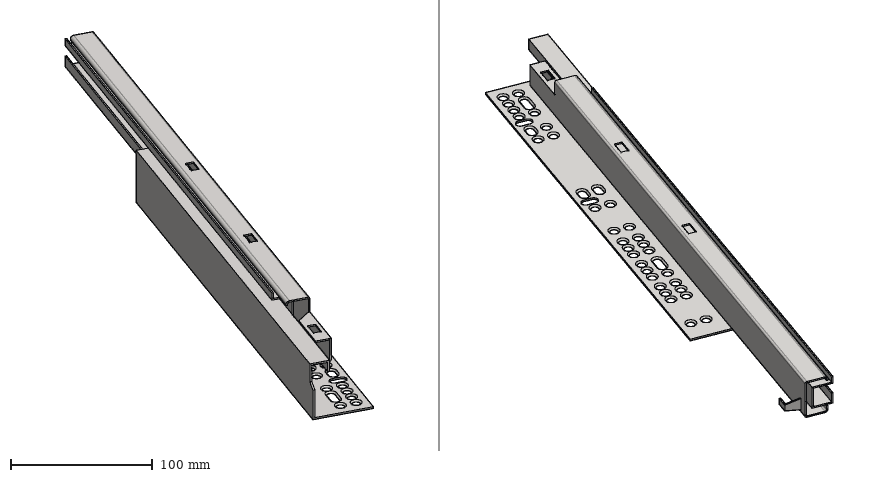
import cadquery as cq
import math


SLIDE_LENGTH = 498.0
SLIDE_HEIGHT = 54.0

CABINET_SHEET = 1.5
CABINET_START = 154.0
CABINET_DEPTH = 46.0
CABINET_HEIGHT = 42.0
CABINET_TOP_WIDTH = 15.0
CABINET_LIP_BOTTOM = 33.0
STEP_LENGTH = 6.0
STEP_TOP = 27.5
STEP_SLOPE_BOTTOM = 24.0

OUTER_ROW_Y = 37.0
INNER_ROW_Y = 25.0
HOLE_DIAMETER = 6.0
SINK_DIAMETER = 8.5
SINK_DEPTH = 1.25
SINK_TAPER = math.degrees(math.atan((SINK_DIAMETER - HOLE_DIAMETER) / 2 / SINK_DEPTH))
SHORT_SLOT_LENGTH = 12.5
LONG_SLOT_LENGTH = 17.0
CROSS_SLOT_LENGTH = 13.0
CROSS_SLOT_WIDTH = 6.5

SHARED_HOLES_X = [172.5, 205.5, 214.5, 223.5, 237.0, 268.5, 277.5, 286.5, 301.5, 333.0, 429.0, 460.5, 487.5]
OUTER_ROW_ONLY_X = [246.0, 255.0, 469.5, 478.5]
INNER_ROW_ONLY_X = [440.5]
CROSS_SLOTS_X = [342.0, 452.0]
SHARED_SLOT_X = 353.0
OUTER_ROW_SLOT_X = 440.5
INNER_ROW_LONG_SLOTS_X = [250.5, 473.5]

MIDDLE_SHEET = 1.2
MIDDLE_LENGTH = 403.0
MIDDLE_FRONT = 6.0
MIDDLE_BACK = 22.5
MIDDLE_BOTTOM = 30.0
MIDDLE_LOW_LIP_TOP = 38.5
MIDDLE_FLANGE_TOP = 48.0
MIDDLE_TOP = 52.5

DRAWER_SHEET = 1.2
DRAWER_FRONT_BEND = 2.5
DRAWER_BACK_BEND = 1.5
DRAWER_LENGTH = 420.5
DRAWER_FRONT = 10.0
DRAWER_BACK = 28.0
DRAWER_BOTTOM = 23.5
DRAWER_LOW_LIP_TOP = 29.0
DRAWER_TOP_LIP_BOTTOM = 50.5

WINDOW_LENGTH = 11.5
WINDOW_WIDTH = 6.0
WINDOW_Y = 20.5
WINDOWS_X = [210.5, 324.0]

TONGUE_END = 462.0
TONGUE_TOP = 42.0
TONGUE_FRONT = 16.0
TONGUE_SLANT = 9.5
TONGUE_WINDOW_X = 444.5
TONGUE_WINDOW_Y = 22.0

HOOK_X = 7.0
HOOK_LENGTH = 9.5
HOOK_BACK = 40.5
HOOK_ROOT_BOTTOM = 26.0
HOOK_ROOT_TOP = 35.5
HOOK_TIP_BOTTOM = 28.5
HOOK_TIP_TOP = 33.5


def box(x0, x1, y0, y1, z0, z1):
    """A block between two opposite corners."""
    return cq.Workplane("XY").box(x1 - x0, y1 - y0, z1 - z0, centered=False).translate((x0, y0, z0))


def extrude_section(points, x0, x1):
    """A closed outline of (y, z) points swept along X."""
    return cq.Workplane("YZ", origin=(x0, 0, 0)).polyline(points).close().extrude(x1 - x0)


def sunk_slots(centres, length):
    """Cutters for countersunk slots along X; a length equal to the sink diameter gives round holes."""
    through_length = length - (SINK_DIAMETER - HOLE_DIAMETER)
    base = cq.Workplane("XY", origin=(0, 0, CABINET_SHEET)).pushPoints(centres)
    if length > SINK_DIAMETER:
        through = base.slot2D(through_length, HOLE_DIAMETER).extrude(-CABINET_SHEET)
        sink = base.slot2D(length, SINK_DIAMETER).extrude(-SINK_DEPTH, taper=SINK_TAPER)
    else:
        through = base.circle(HOLE_DIAMETER / 2).extrude(-CABINET_SHEET)
        sink = base.circle(SINK_DIAMETER / 2).extrude(-SINK_DEPTH, taper=SINK_TAPER)
    return through.union(sink)


def cross_slots(centres):
    """Cutters for the plain slots that run along Y."""
    base = cq.Workplane("XY").pushPoints(centres)
    return base.slot2D(CROSS_SLOT_LENGTH, CROSS_SLOT_WIDTH, 90).extrude(CABINET_SHEET)


def along_row(positions, y):
    """Points at the given X positions in one row of holes."""
    return [(x, y) for x in positions]


def make_cabinet_rail():
    """Sheet bent to a base, an outer wall, a top flange and an inner lip."""
    sheet = CABINET_SHEET
    rail = extrude_section(
        [
            (0, 0),
            (CABINET_DEPTH, 0),
            (CABINET_DEPTH, sheet),
            (sheet, sheet),
            (sheet, CABINET_HEIGHT - sheet),
            (CABINET_TOP_WIDTH - sheet, CABINET_HEIGHT - sheet),
            (CABINET_TOP_WIDTH - sheet, CABINET_LIP_BOTTOM),
            (CABINET_TOP_WIDTH, CABINET_LIP_BOTTOM),
            (CABINET_TOP_WIDTH, CABINET_HEIGHT),
            (0, CABINET_HEIGHT),
        ],
        CABINET_START,
        SLIDE_LENGTH,
    )

    step_x = SLIDE_LENGTH - STEP_LENGTH
    step = (
        cq.Workplane("XZ")
        .moveTo(step_x, CABINET_HEIGHT)
        .lineTo(step_x, STEP_TOP)
        .lineTo(SLIDE_LENGTH, STEP_SLOPE_BOTTOM)
        .lineTo(SLIDE_LENGTH, CABINET_HEIGHT)
        .close()
        .extrude(-CABINET_TOP_WIDTH)
    )
    rail = rail.cut(step)

    holes = along_row(SHARED_HOLES_X + OUTER_ROW_ONLY_X, OUTER_ROW_Y)
    holes += along_row(SHARED_HOLES_X + INNER_ROW_ONLY_X, INNER_ROW_Y)
    short_slots = along_row([SHARED_SLOT_X, OUTER_ROW_SLOT_X], OUTER_ROW_Y)
    short_slots += along_row([SHARED_SLOT_X], INNER_ROW_Y)
    rail = rail.cut(sunk_slots(holes, SINK_DIAMETER))
    rail = rail.cut(sunk_slots(short_slots, SHORT_SLOT_LENGTH))
    long_slots = along_row(INNER_ROW_LONG_SLOTS_X, INNER_ROW_Y)
    rail = rail.cut(sunk_slots(long_slots, LONG_SLOT_LENGTH))
    return rail.cut(cross_slots(along_row(CROSS_SLOTS_X, OUTER_ROW_Y)))


def make_middle_rail():
    """Sheet bent to a channel, with an upper flange and lip facing the front."""
    sheet = MIDDLE_SHEET
    return extrude_section(
        [
            (MIDDLE_FRONT, MIDDLE_BOTTOM),
            (MIDDLE_BACK, MIDDLE_BOTTOM),
            (MIDDLE_BACK, MIDDLE_FLANGE_TOP),
            (MIDDLE_FRONT + sheet, MIDDLE_FLANGE_TOP),
            (MIDDLE_FRONT + sheet, MIDDLE_TOP),
            (MIDDLE_FRONT, MIDDLE_TOP),
            (MIDDLE_FRONT, MIDDLE_FLANGE_TOP - sheet),
            (MIDDLE_BACK - sheet, MIDDLE_FLANGE_TOP - sheet),
            (MIDDLE_BACK - sheet, MIDDLE_BOTTOM + sheet),
            (MIDDLE_FRONT + sheet, MIDDLE_BOTTOM + sheet),
            (MIDDLE_FRONT + sheet, MIDDLE_LOW_LIP_TOP),
            (MIDDLE_FRONT, MIDDLE_LOW_LIP_TOP),
        ],
        0,
        MIDDLE_LENGTH,
    )


def make_drawer_channel():
    """The C-shaped channel with rounded outer bends and short lips on its open front."""
    sheet = DRAWER_SHEET
    outer = box(0, TONGUE_END, DRAWER_FRONT, DRAWER_BACK, DRAWER_BOTTOM, SLIDE_HEIGHT)
    outer = outer.edges("|X and <Y").fillet(DRAWER_FRONT_BEND)
    outer = outer.edges("|X and >Y").fillet(DRAWER_BACK_BEND)
    inside = box(
        0, TONGUE_END,
        DRAWER_FRONT + sheet, DRAWER_BACK - sheet,
        DRAWER_BOTTOM + sheet, SLIDE_HEIGHT - sheet,
    )
    inside = inside.edges("|X and <Y").fillet(DRAWER_FRONT_BEND - sheet)
    inside = inside.edges("|X and >Y").fillet(DRAWER_BACK_BEND - sheet)
    mouth = box(
        0, TONGUE_END,
        DRAWER_FRONT, DRAWER_FRONT + sheet,
        DRAWER_LOW_LIP_TOP, DRAWER_TOP_LIP_BOTTOM,
    )
    above_tongue = box(
        DRAWER_LENGTH, TONGUE_END,
        DRAWER_FRONT, DRAWER_BACK,
        TONGUE_TOP, SLIDE_HEIGHT,
    )
    return outer.cut(inside).cut(mouth).cut(above_tongue)


def window(x, y, top):
    """Cutter for a rectangular window through a sheet whose top face is at the given height."""
    return (
        cq.Workplane("XY", origin=(x, y, top))
        .rect(WINDOW_LENGTH, WINDOW_WIDTH)
        .extrude(-DRAWER_SHEET)
    )


def make_tongue_flange():
    """Flange bent forward from the top of the tongue, with a slanted left end and a window."""
    web_inside = DRAWER_BACK - DRAWER_SHEET
    flange = (
        cq.Workplane("XY", origin=(0, 0, TONGUE_TOP))
        .moveTo(DRAWER_LENGTH, DRAWER_BACK)
        .lineTo(DRAWER_LENGTH, web_inside)
        .lineTo(DRAWER_LENGTH + TONGUE_SLANT, TONGUE_FRONT)
        .lineTo(TONGUE_END, TONGUE_FRONT)
        .lineTo(TONGUE_END, DRAWER_BACK)
        .close()
        .extrude(-DRAWER_SHEET)
    )
    return flange.cut(window(TONGUE_WINDOW_X, TONGUE_WINDOW_Y, TONGUE_TOP))


def make_hook():
    """Tapered plate standing off the back of the web, bent over towards +X at its tip."""
    plate = extrude_section(
        [
            (DRAWER_BACK, HOOK_ROOT_BOTTOM),
            (HOOK_BACK, HOOK_TIP_BOTTOM),
            (HOOK_BACK, HOOK_TIP_TOP),
            (DRAWER_BACK, HOOK_ROOT_TOP),
        ],
        HOOK_X,
        HOOK_X + DRAWER_SHEET,
    )
    tip = box(
        HOOK_X, HOOK_X + HOOK_LENGTH,
        HOOK_BACK - DRAWER_SHEET, HOOK_BACK,
        HOOK_TIP_BOTTOM, HOOK_TIP_TOP,
    )
    return plate.union(tip)


def make_drawer_rail():
    """Channel with windows in its top, a flanged tongue at the right end and a hook at the left."""
    rail = make_drawer_channel()
    for x in WINDOWS_X:
        rail = rail.cut(window(x, WINDOW_Y, SLIDE_HEIGHT))
    return rail.union(make_tongue_flange()).union(make_hook())


cabinet_rail = make_cabinet_rail()
middle_rail = make_middle_rail()
drawer_rail = make_drawer_rail()

result = cq.Compound.makeCompound([cabinet_rail.val(), middle_rail.val(), drawer_rail.val()])